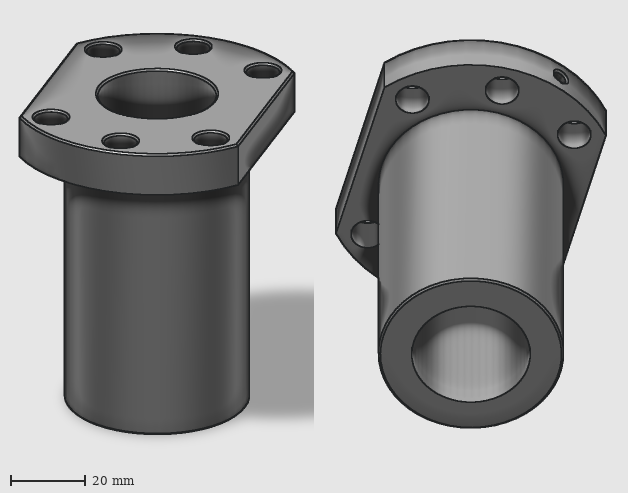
import cadquery as cq
import math

total_length = 90.0
flange_diameter = 80.0
flange_width = 62.0
flange_thickness = 12.0
body_diameter = 50.0
bore_diameter = 32.0
edge_chamfer = 0.5

bolt_hole_diameter = 9.0
bolt_circle_diameter = 65.0
bolt_hole_spacing = 44.2

oil_port_diameter = 4.0
oil_mouth_diameter = 5.2
oil_port_depth = 12.0
oil_port_angle = 112.5

flange_bottom = total_length - flange_thickness
flange_radius = flange_diameter / 2
oil_port_height = flange_bottom + flange_thickness / 2


def make_body():
    """Cylindrical nut body, chamfered at its free end."""
    body = cq.Workplane("XY").circle(body_diameter / 2).extrude(flange_bottom)
    return body.faces("<Z").chamfer(edge_chamfer)


def make_flange():
    """Round flange cut by two flats and chamfered around its top face."""
    disc = cq.Workplane("XY").workplane(offset=flange_bottom).circle(flange_radius).extrude(flange_thickness)
    flats = cq.Workplane("XY").box(flange_width, flange_diameter, total_length, centered=(True, True, False))
    return disc.intersect(flats).faces(">Z").chamfer(edge_chamfer)


def make_chamfered_hole(diameter, depth):
    """Cutter for a hole going down from the flange face, widened at its mouth."""
    radius = diameter / 2
    profile = [
        (0, total_length),
        (radius + edge_chamfer, total_length),
        (radius, total_length - edge_chamfer),
        (radius, total_length - depth),
        (0, total_length - depth),
    ]
    return cq.Workplane("XZ").polyline(profile).close().revolve(360, (0, 0, 0), (0, 1, 0))


def make_oil_port():
    """Cutter for the blind oil port, running inward from the rim with a chamfered mouth."""
    port_radius = oil_port_diameter / 2
    mouth_radius = oil_mouth_diameter / 2
    mouth_bottom = flange_radius - (mouth_radius - port_radius)
    port_bottom = flange_radius - oil_port_depth
    outside = flange_radius + edge_chamfer
    profile = [
        (port_bottom, 0),
        (port_bottom, port_radius),
        (mouth_bottom, port_radius),
        (flange_radius, mouth_radius),
        (outside, mouth_radius),
        (outside, 0),
    ]
    port = cq.Workplane("XY").polyline(profile).close().revolve(360, (0, 0, 0), (1, 0, 0))
    return port.rotate((0, 0, 0), (0, 0, 1), oil_port_angle).translate((0, 0, oil_port_height))


result = make_body().union(make_flange())
result = result.cut(make_chamfered_hole(bore_diameter, total_length))

bolt_hole = make_chamfered_hole(bolt_hole_diameter, flange_thickness)
for group_angle in (90, 270):
    for step in (-1, 0, 1):
        angle = math.radians(group_angle + step * bolt_hole_spacing)
        x = bolt_circle_diameter / 2 * math.cos(angle)
        y = bolt_circle_diameter / 2 * math.sin(angle)
        result = result.cut(bolt_hole.translate((x, y, 0)))

result = result.cut(make_oil_port())